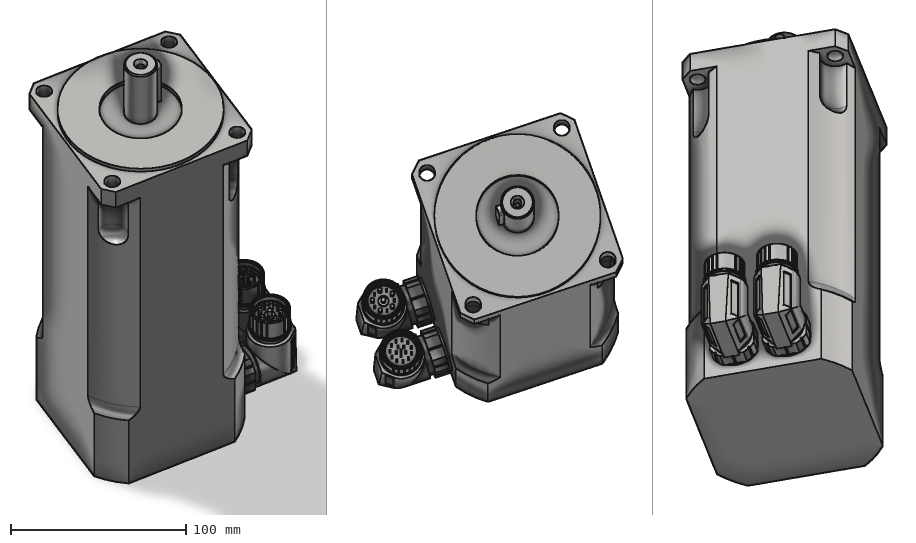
import cadquery as cq
import math

FRAME_WIDTH = 98.0
HALF_FRAME = FRAME_WIDTH / 2
TOTAL_HEIGHT = 284.0
TOTAL_DEPTH = 139.5
BASE_CORNER_RADIUS = 60.0
SIDE_CORNER_RADIUS = 56.0
BASE_TOP = 52.0
SIDE_BOTTOM = 59.5

FLANGE_BOTTOM = 231.7
FLANGE_TOP = 244.5
FLANGE_CHAMFER = 6.2
BOSS_DIAMETER = 94.9
BOSS_TOP = 247.0
RECESS_DIAMETER = 47.1
RECESS_DEPTH = 2.8

HOLE_DIAMETER = 9.0
HOLE_PITCH = 81.2
RELIEF_RADIUS = 9.0
RELIEF_BALL_CENTRE = 200.2

SHAFT_DIAMETER = 19.0
SHAFT_CHAMFER = 0.9
CENTRE_HOLE_DIAMETER = 4.5
CENTRE_HOLE_DEPTH = 14.2
CENTRE_SINK_DIAMETER = 7.7
CENTRE_SINK_ANGLE = 60
KEY_WIDTH = 6.0
KEY_BOTTOM_Y = 6.0
KEY_HEIGHT = 6.0
KEY_LOW_END = 248.2
KEY_LENGTH = 32.0

CONNECTOR_SPACING = 31.0
PLUG_AXIS_Y = 75.5
NUT_AXIS_Z = 19.0

ELBOW_RADIUS = 13.3
ELBOW_WIDTH = 2 * ELBOW_RADIUS
ELBOW_EDGE_REACH = 7.5
ELBOW_EDGE_HALF_WIDTH = math.sqrt(ELBOW_RADIUS ** 2 - ELBOW_EDGE_REACH ** 2)
ELBOW_BACK_REACH = TOTAL_DEPTH - HALF_FRAME - PLUG_AXIS_Y
ELBOW_BACK_HALF_WIDTH = 4.5
ELBOW_TOP = 41.0
ELBOW_BACK_TAPER = 1.5
ELBOW_FRONT_Y = 62.5
FOOT_FRONT_Y = 59.4
FOOT_THICKNESS = 1.0
CHANNEL_NEAR = 0.1
CHANNEL_FAR = 0.6
CHANNEL_DEPTH = 0.9
CHANNEL_END_MARGIN = 4.3

COLLAR_DIAMETER = 23.3
NUT_BACK_Y = 59.0
NUT_FLANGE_Y = 50.5
NUT_WIDTH = 25.8
NUT_CORNER_DIAMETER = 29.3
NUT_SLOT_WIDTH = 0.9
NUT_SLOT_DEPTH = 0.9

NECK_DIAMETER = 22.0
NECK_TOP = 43.2
CONE_TOP = 44.5
RING_DIAMETER = 24.5
RING_TOP = 46.3
CAP_DIAMETER = 23.3
CAP_TOP = 59.4
CAP_CHAMFER = 0.9
GRIP_GROUPS = 3
GRIP_GROUP_ANGLE = 171
GRIP_PITCH_ANGLE = 16
GRIP_HALF_COUNT = 2
GRIP_WIDTH = 0.7
GRIP_DEPTH = 0.5
GRIP_TOP_MARGIN = 1.5
MOUTH_DIAMETER = 21.5
MOUTH_DEPTH = 1.0
BORE_DIAMETER = 20.0
BORE_DEPTH = 4.3
SEAT_DIAMETER = 18.2
SEAT_DEPTH = 7.0

PIN_FLOOR = CAP_TOP - SEAT_DEPTH
PIN_HEIGHT = 5.0
SMALL_PIN_DIAMETER = 1.0
POWER_PIN_DIAMETER = 2.15
CENTRE_PIN_DIAMETER = 2.7
SIGNAL_OUTER_COUNT = 11
SIGNAL_INNER_COUNT = 5
POWER_COUNT = 5
OUTER_PIN_CIRCLE = 6.2
INNER_PIN_CIRCLE = 2.8
CENTRE_COLLAR_DIAMETER = 6.0
CENTRE_COLLAR_HEIGHT = 1.5


def disc(diameter, bottom, top):
    """Upright cylinder on the Z axis between two heights."""
    return cq.Workplane("XY").workplane(offset=bottom).circle(diameter / 2).extrude(top - bottom)


def corner_envelope():
    """Turned blank that rounds the frame corners, with a concave blend above the base."""
    step = BASE_CORNER_RADIUS - SIDE_CORNER_RADIUS
    rise = SIDE_BOTTOM - BASE_TOP
    blend_radius = (rise ** 2 + step ** 2) / (2 * step)
    half_rise = rise / 2
    middle = SIDE_CORNER_RADIUS + blend_radius - math.sqrt(blend_radius ** 2 - half_rise ** 2)
    return (
        cq.Workplane("XZ")
        .lineTo(BASE_CORNER_RADIUS, 0)
        .lineTo(BASE_CORNER_RADIUS, BASE_TOP)
        .threePointArc((middle, SIDE_BOTTOM - half_rise), (SIDE_CORNER_RADIUS, SIDE_BOTTOM))
        .lineTo(SIDE_CORNER_RADIUS, FLANGE_BOTTOM)
        .lineTo(0, FLANGE_BOTTOM)
        .close()
        .revolve(360, (0, 0, 0), (0, 1, 0))
    )


def make_frame():
    """Square frame with rounded corners and the four screw reliefs."""
    frame = cq.Workplane("XY").rect(FRAME_WIDTH, FRAME_WIDTH).extrude(FLANGE_BOTTOM)
    frame = frame.intersect(corner_envelope())
    relief = disc(2 * RELIEF_RADIUS, RELIEF_BALL_CENTRE, FLANGE_BOTTOM)
    relief = relief.union(cq.Workplane("XY").sphere(RELIEF_RADIUS).translate((0, 0, RELIEF_BALL_CENTRE)))
    for x in (-HOLE_PITCH / 2, HOLE_PITCH / 2):
        for y in (-HOLE_PITCH / 2, HOLE_PITCH / 2):
            frame = frame.cut(relief.translate((x, y, 0)))
    return frame


def make_flange():
    """Chamfered flange with mounting holes, centring boss and recess."""
    flange = (
        cq.Workplane("XY")
        .workplane(offset=FLANGE_BOTTOM)
        .rect(FRAME_WIDTH, FRAME_WIDTH)
        .extrude(FLANGE_TOP - FLANGE_BOTTOM)
        .edges("|Z")
        .chamfer(FLANGE_CHAMFER)
        .faces(">Z")
        .workplane()
        .rect(HOLE_PITCH, HOLE_PITCH, forConstruction=True)
        .vertices()
        .hole(HOLE_DIAMETER)
    )
    flange = flange.union(disc(BOSS_DIAMETER, FLANGE_TOP, BOSS_TOP))
    return flange.cut(disc(RECESS_DIAMETER, BOSS_TOP - RECESS_DEPTH, BOSS_TOP))


def make_shaft():
    """Chamfered shaft end with a countersunk centre hole."""
    return (
        disc(SHAFT_DIAMETER, BOSS_TOP - RECESS_DEPTH, TOTAL_HEIGHT)
        .faces(">Z")
        .chamfer(SHAFT_CHAMFER)
        .faces(">Z")
        .workplane()
        .cskHole(CENTRE_HOLE_DIAMETER, CENTRE_SINK_DIAMETER, CENTRE_SINK_ANGLE, CENTRE_HOLE_DEPTH)
    )


def make_key():
    """Round-ended key lying along the +Y side of the shaft."""
    return (
        cq.Workplane("XZ", origin=(0, KEY_BOTTOM_Y, KEY_LOW_END + KEY_LENGTH / 2))
        .slot2D(KEY_LENGTH, KEY_WIDTH, 90)
        .extrude(-KEY_HEIGHT)
    )


def make_motor(key):
    """Frame, flange and shaft in one, with the keyway left open for the key."""
    return make_frame().union(make_flange()).union(make_shaft()).cut(key)


def elbow_section(plane, outward):
    """Elbow section: round inside and sides, sloped and flat outside; outward is +1 or -1 along local y."""
    return (
        plane.moveTo(ELBOW_EDGE_HALF_WIDTH, outward * ELBOW_EDGE_REACH)
        .threePointArc((0, -outward * ELBOW_RADIUS), (-ELBOW_EDGE_HALF_WIDTH, outward * ELBOW_EDGE_REACH))
        .lineTo(-ELBOW_BACK_HALF_WIDTH, outward * ELBOW_BACK_REACH)
        .lineTo(ELBOW_BACK_HALF_WIDTH, outward * ELBOW_BACK_REACH)
        .close()
    )


def slope_channel(plane, outward, side, length):
    """Channel cutter for one sloped side of the elbow section; side is +1 or -1 along local x."""
    across = ELBOW_BACK_HALF_WIDTH - ELBOW_EDGE_HALF_WIDTH
    reach = ELBOW_BACK_REACH - ELBOW_EDGE_REACH
    tilt = math.degrees(math.atan2(outward * reach, side * across))
    middle = (CHANNEL_NEAR + CHANNEL_FAR) / 2
    width = (CHANNEL_FAR - CHANNEL_NEAR) * math.hypot(across, reach)
    return (
        plane.center(
            side * (ELBOW_EDGE_HALF_WIDTH + middle * across),
            outward * (ELBOW_EDGE_REACH + middle * reach),
        )
        .transformed(rotate=(0, 0, tilt))
        .rect(width, 2 * CHANNEL_DEPTH)
        .extrude(length)
    )


def elbow_leg(plane_name, start, outward, length):
    """One straight leg of the elbow, with a channel along each sloped side."""
    leg = elbow_section(cq.Workplane(plane_name, origin=start), outward).extrude(length)
    corner = ELBOW_BACK_REACH - ELBOW_EDGE_REACH
    channel_length = length - corner - CHANNEL_END_MARGIN
    for side in (-1, 1):
        plane = cq.Workplane(plane_name, origin=start).workplane(offset=corner)
        leg = leg.cut(slope_channel(plane, outward, side, channel_length))
    return leg


def make_elbow():
    """Upright and level legs of the same section, joined on a 45 degree mitre, with a foot below."""
    bottom = NUT_AXIS_Z - ELBOW_BACK_REACH
    back_y = PLUG_AXIS_Y + ELBOW_BACK_REACH
    height = ELBOW_TOP - bottom
    upright = elbow_leg("XY", (0, PLUG_AXIS_Y, bottom), 1, height)
    level = elbow_leg("XZ", (0, back_y, NUT_AXIS_Z), -1, back_y - ELBOW_FRONT_Y)
    above_mitre = (
        cq.Workplane("YZ")
        .moveTo(back_y, bottom)
        .lineTo(back_y, bottom + 2 * height)
        .lineTo(back_y - 2 * height, bottom + 2 * height)
        .close()
        .extrude(ELBOW_WIDTH, both=True)
    )
    back_wedge = (
        cq.Workplane("YZ")
        .moveTo(back_y, bottom)
        .lineTo(back_y, ELBOW_TOP)
        .lineTo(back_y - ELBOW_BACK_TAPER, ELBOW_TOP)
        .close()
        .extrude(ELBOW_WIDTH, both=True)
    )
    foot = (
        cq.Workplane("YZ")
        .moveTo(FOOT_FRONT_Y, bottom)
        .lineTo(FOOT_FRONT_Y, bottom + FOOT_THICKNESS)
        .lineTo(ELBOW_FRONT_Y, bottom + FOOT_THICKNESS + ELBOW_FRONT_Y - FOOT_FRONT_Y)
        .lineTo(PLUG_AXIS_Y, bottom + FOOT_THICKNESS)
        .lineTo(PLUG_AXIS_Y, bottom)
        .close()
        .extrude(ELBOW_BACK_HALF_WIDTH, both=True)
    )
    return upright.intersect(above_mitre).cut(back_wedge).union(level.cut(above_mitre)).union(foot)


def make_nut():
    """Collar, slotted square nut with rounded corners, and flange against the frame."""
    def along_axis(start_y):
        return cq.Workplane("XZ", origin=(0, start_y, NUT_AXIS_Z))

    length = NUT_BACK_Y - NUT_FLANGE_Y
    nut = along_axis(NUT_BACK_Y).rect(NUT_WIDTH, NUT_WIDTH).extrude(length)
    nut = nut.intersect(along_axis(NUT_BACK_Y).circle(NUT_CORNER_DIAMETER / 2).extrude(length))
    for first_angle, across in ((0, NUT_WIDTH), (45, NUT_CORNER_DIAMETER)):
        slot = along_axis(NUT_BACK_Y).center(0, across / 2).rect(NUT_SLOT_WIDTH, 2 * NUT_SLOT_DEPTH)
        slot = slot.extrude(length)
        for quarter in range(4):
            angle = first_angle + 90 * quarter
            nut = nut.cut(slot.rotate((0, 0, NUT_AXIS_Z), (0, 1, NUT_AXIS_Z), angle))
    collar = along_axis(ELBOW_FRONT_Y).circle(COLLAR_DIAMETER / 2).extrude(ELBOW_FRONT_Y - NUT_BACK_Y)
    flange = along_axis(NUT_FLANGE_Y).circle(NUT_WIDTH / 2).extrude(NUT_FLANGE_Y - HALF_FRAME)
    return collar.union(nut).union(flange)


def make_plug_end():
    """Neck, ring and grooved cap, open at the top, centred on the Z axis."""
    cone = (
        cq.Workplane("XY")
        .workplane(offset=NECK_TOP)
        .circle(NECK_DIAMETER / 2)
        .workplane(offset=CONE_TOP - NECK_TOP)
        .circle(CAP_DIAMETER / 2)
        .loft()
    )
    cap = disc(CAP_DIAMETER, RING_TOP, CAP_TOP).faces(">Z").edges().chamfer(CAP_CHAMFER)
    groove_height = CAP_TOP - GRIP_TOP_MARGIN - RING_TOP
    groove = (
        cq.Workplane("XY", origin=(CAP_DIAMETER / 2, 0, RING_TOP))
        .rect(2 * GRIP_DEPTH, GRIP_WIDTH)
        .extrude(groove_height)
    )
    for group in range(GRIP_GROUPS):
        middle_angle = GRIP_GROUP_ANGLE + 360 / GRIP_GROUPS * group
        for step in range(-GRIP_HALF_COUNT, GRIP_HALF_COUNT + 1):
            angle = middle_angle + GRIP_PITCH_ANGLE * step
            cap = cap.cut(groove.rotate((0, 0, 0), (0, 0, 1), angle))
    plug = disc(NECK_DIAMETER, ELBOW_TOP, NECK_TOP).union(cone)
    plug = plug.union(disc(RING_DIAMETER, CONE_TOP, RING_TOP)).union(cap)
    plug = plug.cut(disc(MOUTH_DIAMETER, CAP_TOP - MOUTH_DEPTH, CAP_TOP))
    plug = plug.cut(disc(BORE_DIAMETER, CAP_TOP - BORE_DEPTH, CAP_TOP))
    return plug.cut(disc(SEAT_DIAMETER, PIN_FLOOR, CAP_TOP))


def add_pin_ring(plug, diameter, circle_radius, count, first_angle):
    """Add equally spaced contact pins to the floor of the plug."""
    pins = (
        cq.Workplane("XY")
        .workplane(offset=PIN_FLOOR)
        .polarArray(circle_radius, first_angle, 360, count)
        .circle(diameter / 2)
        .extrude(PIN_HEIGHT)
    )
    return plug.union(pins)


def add_signal_pins(plug):
    """Eleven outer, five inner and one central small pin."""
    plug = add_pin_ring(plug, SMALL_PIN_DIAMETER, OUTER_PIN_CIRCLE, SIGNAL_OUTER_COUNT, -90)
    plug = add_pin_ring(plug, SMALL_PIN_DIAMETER, INNER_PIN_CIRCLE, SIGNAL_INNER_COUNT, 90)
    return add_pin_ring(plug, SMALL_PIN_DIAMETER, 0, 1, 0)


def add_power_pins(plug):
    """Five power pins with small pins between them, around a central pin in a raised collar."""
    plug = add_pin_ring(plug, POWER_PIN_DIAMETER, OUTER_PIN_CIRCLE, POWER_COUNT, 0)
    plug = add_pin_ring(plug, SMALL_PIN_DIAMETER, OUTER_PIN_CIRCLE, POWER_COUNT, 180 / POWER_COUNT)
    plug = plug.union(disc(CENTRE_COLLAR_DIAMETER, PIN_FLOOR, PIN_FLOOR + CENTRE_COLLAR_HEIGHT))
    return add_pin_ring(plug, CENTRE_PIN_DIAMETER, 0, 1, 0)


def make_connector(add_pins, x):
    """Complete angled connector standing against the +Y side of the frame."""
    plug = add_pins(make_plug_end()).translate((0, PLUG_AXIS_Y, 0))
    return make_elbow().union(make_nut()).union(plug).translate((x, 0, 0))


key = make_key()
motor = make_motor(key)
connectors = []
for add_pins, side in ((add_signal_pins, -1), (add_power_pins, 1)):
    connectors.append(make_connector(add_pins, side * CONNECTOR_SPACING / 2))

result = cq.Compound.makeCompound([motor.val(), key.val(), *[body.val() for body in connectors]])